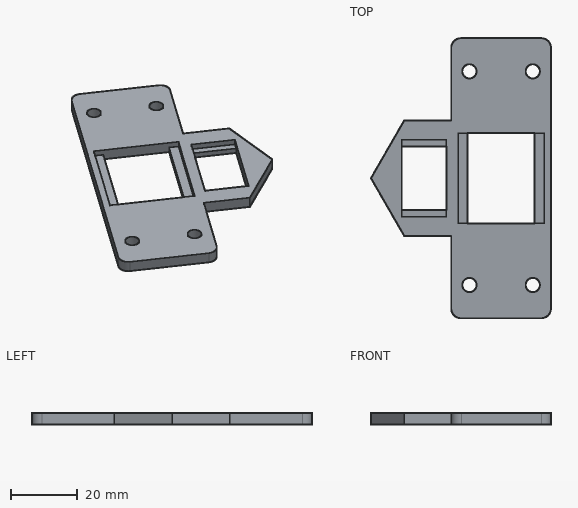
import cadquery as cq

plate_width = 30.0
plate_length = 84
thickness = 3.5
corner_radius = 3.0

tab_reach = 24.0
tab_length = 34.7
point_depth = 10.0

hole_diameter = 4.2
hole_spacing_x = 19.0
hole_spacing_y = 64.0

large_pocket_width = 25.8
large_pocket_length = 27.05
large_opening_width = 20.0

small_pocket_width = 13.3
small_pocket_length = 23.0
small_opening_length = 19.0
small_window_gap = 1.4

ledge_thickness = 1.8

plate_left = -plate_width / 2
tab_tip = plate_left - tab_reach
tab_shoulder = tab_tip + point_depth
small_window_x = plate_left - small_window_gap - small_pocket_width / 2


def make_plate():
    plate = cq.Workplane("XY").rect(plate_width, plate_length).extrude(thickness)
    return plate.edges("|Z").fillet(corner_radius)


def make_tab():
    """Rectangle with a pointed end, running into the plate up to its centre line."""
    outline = [
        (0, -tab_length / 2),
        (tab_shoulder, -tab_length / 2),
        (tab_tip, 0),
        (tab_shoulder, tab_length / 2),
        (0, tab_length / 2),
    ]
    return cq.Workplane("XY").polyline(outline).close().extrude(thickness)


def make_window(center_x, pocket_size, opening_size):
    """Cutter for a pocket above the ledges and a through opening between them."""
    opening = cq.Workplane("XY").center(center_x, 0).rect(*opening_size).extrude(thickness)
    pocket = (
        cq.Workplane("XY", origin=(center_x, 0, ledge_thickness))
        .rect(*pocket_size)
        .extrude(thickness - ledge_thickness)
    )
    return opening.union(pocket)


def make_holes():
    return (
        cq.Workplane("XY")
        .rect(hole_spacing_x, hole_spacing_y, forConstruction=True)
        .vertices()
        .circle(hole_diameter / 2)
        .extrude(thickness)
    )


large_window = make_window(
    0,
    (large_pocket_width, large_pocket_length),
    (large_opening_width, large_pocket_length),
)
small_window = make_window(
    small_window_x,
    (small_pocket_width, small_pocket_length),
    (small_pocket_width, small_opening_length),
)

result = make_plate().union(make_tab())
result = result.cut(large_window).cut(small_window).cut(make_holes())